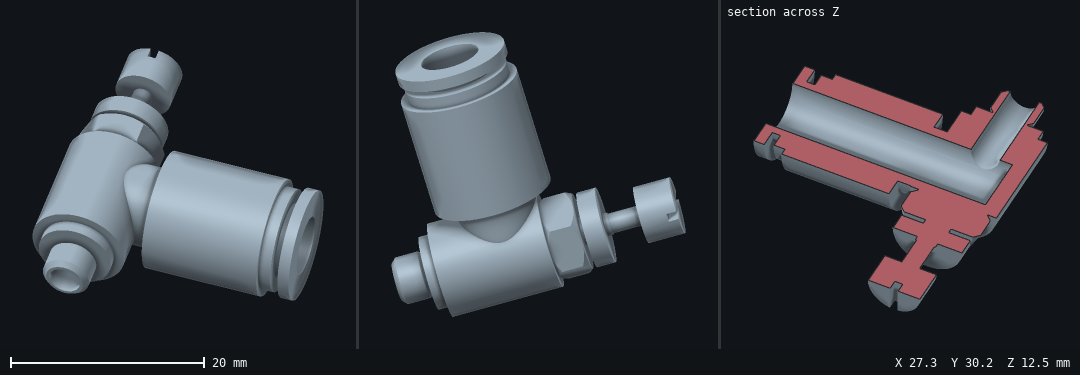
import cadquery as cq
import math


thread_chamfer = 0.5
thread_end = 2.95
collar_start = 3.45
body_start = 4.68
body_end = 16.52
nut_end = 20.0
lock_disc_start = 20.48
lock_disc_end = 22.47
rod_ring_end = 22.98
head_start = 26.3
stem_length = 30.2

thread_diameter = 5.0
undercut_diameter = 4.0
collar_diameter = 7.8
body_diameter = 10.0
lock_neck_diameter = 3.0
lock_disc_diameter = 8.0
rod_ring_diameter = 2.4
rod_diameter = 2.1
head_diameter = 6.0

nut_across_flats = 8.0
slot_width = 0.88
slot_depth = 1.1

arm_axis_y = 12.2
sleeve_start = 6.45
sleeve_end = 18.9
ring_end = 20.17
flange_start = 21.08
arm_length = 22.3

arm_diameter = 8.5
sleeve_diameter = 12.5
ring_diameter = 11.0
arm_neck_diameter = 8.0
flange_diameter = 11.75

stem_bore_diameter = 3.32
arm_bore_diameter = 6.2


def stem_cylinder(diameter, start, end):
    """Cylinder on the stem axis between two Y stations."""
    return cq.Workplane("XZ", origin=(0, start, 0)).circle(diameter / 2).extrude(start - end)


def arm_cylinder(diameter, start, end):
    """Cylinder on the arm axis between two X stations."""
    return cq.Workplane("YZ", origin=(start, arm_axis_y, 0)).circle(diameter / 2).extrude(end - start)


def make_thread():
    """Threaded end with a chamfered tip and a conical undercut, as one turned profile."""
    tip_radius = thread_diameter / 2 - thread_chamfer
    profile = [
        (0, 0),
        (tip_radius, 0),
        (thread_diameter / 2, thread_chamfer),
        (thread_diameter / 2, thread_end),
        (undercut_diameter / 2, collar_start),
        (0, collar_start),
    ]
    return cq.Workplane("XY").polyline(profile).close().revolve(360, (0, 0), (0, 1))


def make_nut():
    """Hexagon with corners on X, its corners cut at 45 degrees at both ends."""
    corner_diameter = nut_across_flats / math.cos(math.pi / 6)
    corner_cut = (corner_diameter - nut_across_flats) / 2
    height = nut_end - body_end
    hexagon = (
        cq.Workplane("XZ", origin=(0, body_end, 0))
        .polygon(6, corner_diameter)
        .extrude(-height)
    )
    envelope = stem_cylinder(corner_diameter, body_end, nut_end).edges("%CIRCLE").chamfer(corner_cut)
    return hexagon.intersect(envelope)


stem_steps = [
    (collar_diameter, collar_start, body_start),
    (body_diameter, body_start, body_end),
    (lock_neck_diameter, nut_end, lock_disc_start),
    (lock_disc_diameter, lock_disc_start, lock_disc_end),
    (rod_ring_diameter, lock_disc_end, rod_ring_end),
    (rod_diameter, rod_ring_end, head_start),
    (head_diameter, head_start, stem_length),
]
arm_steps = [
    (arm_diameter, 0, sleeve_start),
    (sleeve_diameter, sleeve_start, sleeve_end),
    (ring_diameter, sleeve_end, ring_end),
    (arm_neck_diameter, ring_end, flange_start),
    (flange_diameter, flange_start, arm_length),
]

result = make_thread().union(make_nut())
for step in stem_steps:
    result = result.union(stem_cylinder(*step))
for step in arm_steps:
    result = result.union(arm_cylinder(*step))

slot = cq.Workplane("XY").box(slot_width, 2 * slot_depth, head_diameter)
result = result.cut(slot.translate((0, stem_length, 0)))

result = result.cut(stem_cylinder(stem_bore_diameter, 0, arm_axis_y))
result = result.cut(arm_cylinder(arm_bore_diameter, -arm_bore_diameter / 2, arm_length))